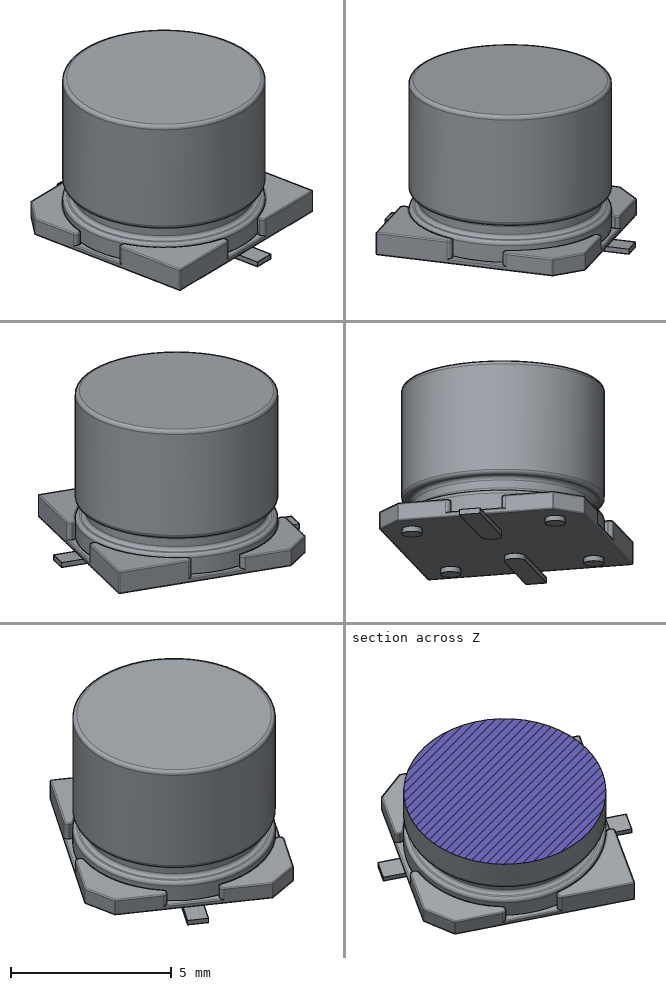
import cadquery as cq

total_length = 8.0
total_height = 5.2
base_width = 6.6

can_radius = 3.15
neck_radius = 5.67 / 2
collar_top = 1.02
can_bottom = 1.53
rim_radius = 0.13

foot_height = 0.17
floor_height = 0.34
low_corner_height = 0.74
high_corner_height = 0.92
corner_cut = 0.8
notch_width = 1.66
notch_end_radius = 0.13
edge_radius = 0.04

core_bottom = foot_height + edge_radius

lead_width = 0.66
lead_inner_end = 1.1
pin_diameter = 0.63
pin_spacing = 4.61


def base_prism(bottom, top):
    """Square prism with both -X corners cut off and its upright edges rounded."""
    return (
        cq.Workplane("XY", origin=(0, 0, bottom))
        .rect(base_width, base_width)
        .extrude(top - bottom)
        .edges("|Z and <X")
        .chamfer(corner_cut)
        .edges("|Z")
        .fillet(edge_radius)
    )


def corner_block(x_side, y_side, height):
    """One raised corner: a quarter of the base prism outside the notches and the can."""
    half_width = base_width / 2
    half_notch = notch_width / 2
    block_size = half_width - half_notch
    block_center = half_notch + block_size / 2
    quarter = (
        cq.Workplane("XY")
        .center(x_side * block_center, y_side * block_center)
        .rect(block_size, block_size)
        .extrude(height)
    )
    can_space = cq.Workplane("XY").circle(can_radius).extrude(height)
    block = base_prism(core_bottom, height).intersect(quarter).cut(can_space)

    end_lines = block.faces(f"{'<' if x_side > 0 else '>'}X").edges("|Z").add(
        block.faces(f"{'<' if y_side > 0 else '>'}Y").edges("|Z")
    )
    block = end_lines.fillet(notch_end_radius)
    return block.faces(">Z").edges().fillet(edge_radius)


def base():
    plate = base_prism(foot_height, floor_height).faces("<Z or >Z").edges().fillet(edge_radius)
    for x_side, height in ((-1, low_corner_height), (1, high_corner_height)):
        for y_side in (-1, 1):
            plate = plate.union(corner_block(x_side, y_side, height))
    return plate


def can():
    """Collar, necked groove with rounded shoulders, and the can above it."""
    half_profile = (
        cq.Workplane("XZ")
        .moveTo(0, core_bottom)
        .lineTo(can_radius, core_bottom)
        .lineTo(can_radius, collar_top - rim_radius)
        .radiusArc((can_radius - rim_radius, collar_top), -rim_radius)
        .lineTo(neck_radius + rim_radius, collar_top)
        .radiusArc((neck_radius, collar_top + rim_radius), rim_radius)
        .lineTo(neck_radius, can_bottom - rim_radius)
        .radiusArc((neck_radius + rim_radius, can_bottom), rim_radius)
        .lineTo(can_radius - rim_radius, can_bottom)
        .radiusArc((can_radius, can_bottom + rim_radius), -rim_radius)
        .lineTo(can_radius, total_height - rim_radius)
        .radiusArc((can_radius - rim_radius, total_height), -rim_radius)
        .lineTo(0, total_height)
        .close()
    )
    return half_profile.revolve(360, (0, 0, 0), (0, 1, 0))


def lead(side):
    """Flat lead on one X side, rounded at its inner end."""
    round_center = lead_inner_end + lead_width / 2
    half_width = lead_width / 2
    return (
        cq.Workplane("XY")
        .moveTo(side * round_center, half_width)
        .lineTo(side * total_length / 2, half_width)
        .lineTo(side * total_length / 2, -half_width)
        .lineTo(side * round_center, -half_width)
        .threePointArc((side * lead_inner_end, 0), (side * round_center, half_width))
        .close()
        .extrude(foot_height)
    )


def pins():
    return (
        cq.Workplane("XY")
        .rect(pin_spacing, pin_spacing, forConstruction=True)
        .vertices()
        .circle(pin_diameter / 2)
        .extrude(foot_height)
    )


result = base().union(can()).union(lead(-1)).union(lead(1)).union(pins())